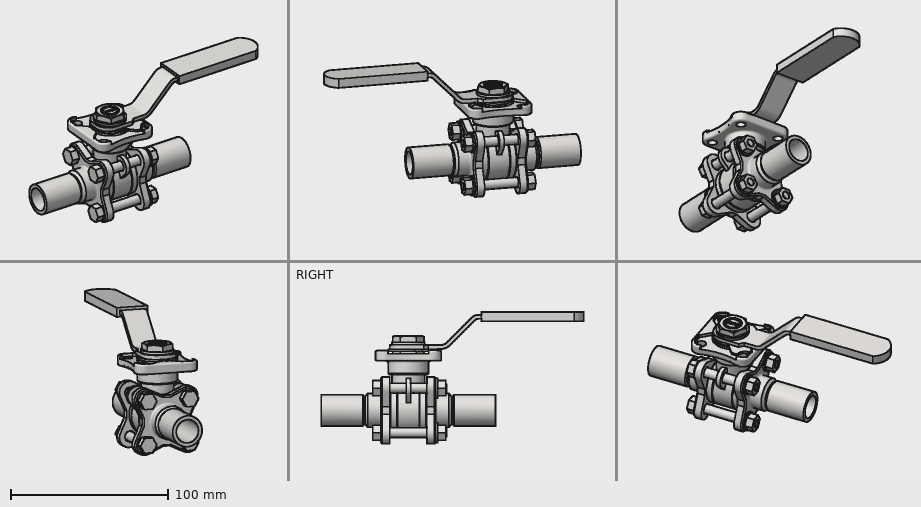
import cadquery as cq
import math


pipe_end = 55.5
pipe_radius = 20.0 / 2
bore_radius = 15.0 / 2
pipe_start = 29.1
weld_groove_radius = 17.7 / 2
weld_groove_start = 27.6
weld_groove_end = 28.3
hub_radius = 21.7 / 2
hub_end = 25.8
hub_root_fillet = 1.2
housing_radius = 30.1 / 2
housing_half_length = 6.9
groove_radius = 28.1 / 2
groove_width = 0.5
ring_end = 11.2

flange_inner = 11.7
flange_thickness = 5.9
flange_outer = flange_inner + flange_thickness
flange_chamfer = 1.0
bolt_offset = 14.2
flange_corner_radius = 6.7
flange_corner_offset = 14.7
waist_offset = 16.4
waist_half_length = 2.3

bolt_radius = 6.4 / 2
bolt_hole_radius = 7.0 / 2
bolt_head_flats = 9.7
bolt_head_height = 5.2
washer_radius = 12.7 / 2
washer_thickness = 1.2
bolt_tip_radius = 5.0 / 2
bolt_tip_length = 0.5

lug_radius = 6.4
lug_thickness = 3.0

neck_radius = 21.0 / 2
collar_radius = 26.0 / 2
neck_root_fillet = 0.7
collar_bottom = 22.8
collar_chamfer = 0.8
collar_root_fillet = 1.2
plate_bottom = 31.5
plate_floor = 36.1
plate_top = 38.1
plate_half = 21.0
plate_hole_offset = 14.9
plate_hole_radius = 6.0 / 2
plate_corner_radius = plate_half - plate_hole_offset
plate_fillet = 1.3
plate_waist = 18.9
plate_waist_end = 13.4
floor_bore_radius = 26.0 / 2
floor_bore_depth = 0.8
rim_width = 2.0
rim_end = 12.9
stop_block_inner = 12.9
stop_block_inner_half_width = 3.5

disc_bottom = 37.6
disc_radius = 26.0 / 2
tab_reach = 18.4
tab_shoulder = 8.7
tab_root_far = 13.2
tab_root_near = 4.0
scallop_radius = 5.9
nut_corners = 20.0
stem_radius = 10.0 / 2
top_washer_radius = 21.0 / 2
top_washer_top = 43.3
nut_top = 47.5
nut_chamfer_radius = 17.2 / 2
nut_chamfer_height = 0.7
countersink_radius = 11.9 / 2
stem_chamfer = 0.5
slot_width = 1.7
slot_depth = 0.7

lever_thickness = 2.7
lever_bottom = 39.0
lever_top = lever_bottom + lever_thickness
lever_rise = 19.2
lever_half_width = 8.4
lever_head_half_width = 11.0
lever_head_front = -11.9
lever_head_corner = 9.0
lever_shoulder = 9.9
lower_bend = 23.5
lower_bend_inner_radius = 6.0
upper_bend_inner_radius = 3.3
lever_end = 104.5

grip_start = 46.5
grip_end = 111.7
grip_half_width = 20.9 / 2
grip_bottom = 56.7
grip_top = 62.7
grip_nose_length = 6.2


def disc(radius, bottom, top):
    return cq.Workplane("XY").workplane(offset=bottom).circle(radius).extrude(top - bottom)


def along_y(profile, start, end):
    """Extrude a sketch drawn by profile(workplane) in X, Z from y = start to y = end."""
    return profile(cq.Workplane("XZ", origin=(0, start, 0))).extrude(start - end)


def both_ends(shape):
    return shape.union(shape.mirror("XZ"))


def housing():
    """Turned housing, hubs and pipe ends."""
    ring_start = housing_half_length + groove_width
    half = (
        cq.Workplane("XY")
        .moveTo(0, 0)
        .lineTo(housing_radius, 0)
        .lineTo(housing_radius, housing_half_length)
        .lineTo(groove_radius, housing_half_length)
        .lineTo(groove_radius, ring_start)
        .lineTo(housing_radius, ring_start)
        .lineTo(housing_radius, ring_end)
        .lineTo(groove_radius, ring_end)
        .lineTo(groove_radius, flange_outer)
        .lineTo(hub_radius + hub_root_fillet, flange_outer)
        .radiusArc((hub_radius, flange_outer + hub_root_fillet), hub_root_fillet)
        .lineTo(hub_radius, hub_end)
        .lineTo(weld_groove_radius, weld_groove_start)
        .lineTo(weld_groove_radius, weld_groove_end)
        .lineTo(pipe_radius, pipe_start)
        .lineTo(pipe_radius, pipe_end)
        .lineTo(0, pipe_end)
        .close()
        .revolve(360, (0, 0, 0), (0, 1, 0))
    )
    return both_ends(half)


def pipe_bores():
    bore = along_y(lambda plane: plane.circle(bore_radius), flange_inner, pipe_end)
    return both_ends(bore)


def flange_quarter_points():
    """Waist end, tangent point, corner middle, tangent point and waist end for the +X +Z arm."""
    dx = flange_corner_offset - waist_half_length
    dz = flange_corner_offset - waist_offset
    reach = math.hypot(dx, dz)
    angle = math.atan2(dz, dx) + math.asin(flange_corner_radius / reach) + math.pi / 2
    tangent_x = flange_corner_offset + flange_corner_radius * math.cos(angle)
    tangent_z = flange_corner_offset + flange_corner_radius * math.sin(angle)
    middle = flange_corner_offset + flange_corner_radius * math.cos(math.pi / 4)
    return [
        (waist_half_length, waist_offset),
        (tangent_x, tangent_z),
        (middle, middle),
        (tangent_z, tangent_x),
        (waist_offset, waist_half_length),
    ]


def flange_outline(plane):
    """Cross with four rounded arms, drawn clockwise from the upper waist."""
    arm = flange_quarter_points()
    path = plane.moveTo(-waist_half_length, waist_offset)
    for turn in range(4):
        points = arm
        for _ in range(turn):
            points = [(z, -x) for x, z in points]
        path = path.lineTo(*points[0]).lineTo(*points[1])
        path = path.threePointArc(points[2], points[3]).lineTo(*points[4])
    return path.close()


def flanges():
    """Both flanges, chamfered around their outer faces."""
    flange = along_y(flange_outline, flange_inner, flange_outer)
    flange = flange.faces(">Y").chamfer(flange_chamfer)
    return both_ends(flange)


def bolt_lug():
    """Ear around the +X upper bolt, with a 45 degree underside that runs into the housing."""
    diagonal = lug_radius * math.cos(math.pi / 4)
    tip = (bolt_offset + diagonal, bolt_offset - diagonal)
    foot_height = math.sqrt(housing_radius**2 - bolt_offset**2)
    foot = (bolt_offset, foot_height)

    def outline(plane):
        return (
            plane.moveTo(0, foot_height)
            .lineTo(*foot)
            .lineTo(*tip)
            .threePointArc(
                (bolt_offset + diagonal, bolt_offset + diagonal),
                (bolt_offset - diagonal, bolt_offset + diagonal),
            )
            .lineTo(0, foot_height)
            .close()
        )

    return along_y(outline, -lug_thickness / 2, lug_thickness / 2)


def bolt_lugs():
    lug = bolt_lug()
    return lug.union(lug.mirror("YZ"))


def at_bolts(profile, start, end):
    """Repeat a sketch at the four bolt axes and extrude it along Y."""
    corners = [(x, z) for x in (-bolt_offset, bolt_offset) for z in (-bolt_offset, bolt_offset)]
    return along_y(lambda plane: profile(plane.pushPoints(corners)), start, end)


def bolts():
    """Headed bolts along Y with a washer and a nut on the +Y side."""
    hex_corners = bolt_head_flats / math.cos(math.pi / 6)
    nut_start = flange_outer + washer_thickness
    nut_end = nut_start + bolt_head_height
    heads = at_bolts(lambda p: p.polygon(6, hex_corners), -flange_outer - bolt_head_height, -flange_outer)
    shanks = at_bolts(lambda p: p.circle(bolt_radius), -flange_outer, flange_outer)
    washers = at_bolts(lambda p: p.circle(washer_radius), flange_outer, nut_start)
    nuts = at_bolts(lambda p: p.polygon(6, hex_corners), nut_start, nut_end)
    tips = at_bolts(lambda p: p.circle(bolt_tip_radius), nut_end, nut_end + bolt_tip_length)
    return heads.union(shanks).union(washers).union(nuts).union(tips)


def root_fillet(radius, root_height, fillet_radius):
    """Concave ring that blends a vertical cylinder into the flat face above it."""
    return (
        cq.Workplane("XZ")
        .moveTo(0, root_height)
        .lineTo(radius + fillet_radius, root_height)
        .radiusArc((radius, root_height - fillet_radius), -fillet_radius)
        .lineTo(0, root_height - fillet_radius)
        .close()
        .revolve(360, (0, 0, 0), (0, 1, 0))
    )


def neck():
    """Neck and the chamfered collar under the mounting plate."""
    floor_bore_bottom = plate_floor - floor_bore_depth
    collar = disc(collar_radius, collar_bottom, floor_bore_bottom).faces("<Z").chamfer(collar_chamfer)
    neck_root = root_fillet(neck_radius, collar_bottom, neck_root_fillet)
    collar_root = root_fillet(collar_radius, plate_bottom, collar_root_fillet)
    return disc(neck_radius, 0, collar_bottom).union(neck_root).union(collar).union(collar_root)


def plate_recess():
    """Floor inside the rim, open to both X sides, leaving a trapezoid stop block on both Y sides."""
    height = plate_top - plate_floor
    inner_side = 2 * (plate_half - rim_width)
    inside = (
        cq.Workplane("XY")
        .workplane(offset=plate_floor)
        .rect(inner_side, inner_side)
        .extrude(height)
        .edges("|Z")
        .fillet(plate_corner_radius - rim_width)
    )
    channel = (
        cq.Workplane("XY").workplane(offset=plate_floor).rect(2 * plate_half, 2 * rim_end).extrude(height)
    )
    outer_half_width = stop_block_inner_half_width + plate_half - stop_block_inner
    stop_block = (
        cq.Workplane("XY")
        .workplane(offset=plate_floor)
        .polyline(
            [
                (-stop_block_inner_half_width, -stop_block_inner),
                (stop_block_inner_half_width, -stop_block_inner),
                (outer_half_width, -plate_half),
                (-outer_half_width, -plate_half),
            ]
        )
        .close()
        .extrude(height)
    )
    return inside.union(channel).cut(stop_block).cut(stop_block.mirror("XZ"))


def plate_outline(plane):
    """Square with rounded corners whose X sides curve inwards."""
    hole, half = plate_hole_offset, plate_half
    end_y = plate_waist_end
    end_x = hole + math.sqrt(plate_corner_radius**2 - (hole - end_y) ** 2)
    middle = hole + plate_corner_radius * math.cos(math.pi / 4)
    return (
        plane.moveTo(-hole, -half)
        .lineTo(hole, -half)
        .threePointArc((middle, -middle), (end_x, -end_y))
        .threePointArc((plate_waist, 0), (end_x, end_y))
        .threePointArc((middle, middle), (hole, half))
        .lineTo(-hole, half)
        .threePointArc((-middle, middle), (-end_x, end_y))
        .threePointArc((-plate_waist, 0), (-end_x, -end_y))
        .threePointArc((-middle, -middle), (-hole, -half))
        .close()
    )


def mounting_plate():
    """Waisted plate with a raised rim, a bored floor and a bolt hole in each corner."""
    thickness = plate_top - plate_bottom
    plate = plate_outline(cq.Workplane("XY").workplane(offset=plate_bottom)).extrude(thickness)
    plate = plate.faces("<Z or >Z").edges().fillet(plate_fillet)
    floor_bore = disc(floor_bore_radius, plate_floor - floor_bore_depth, plate_top)
    plate = plate.cut(plate_recess()).cut(floor_bore)
    holes = (
        cq.Workplane("XY")
        .workplane(offset=plate_bottom)
        .rect(2 * plate_hole_offset, 2 * plate_hole_offset, forConstruction=True)
        .vertices()
        .circle(plate_hole_radius)
        .extrude(thickness)
    )
    return plate.cut(holes)


def stop_disc():
    """Disc under the lever with a tab towards +X +Y, scalloped around the plate hole."""
    thickness = lever_bottom - disc_bottom
    tab = (
        cq.Workplane("XY")
        .workplane(offset=disc_bottom)
        .polyline(
            [
                (0, 0),
                (tab_root_far, tab_root_near),
                (tab_reach, tab_shoulder),
                (tab_reach, tab_reach),
                (tab_shoulder, tab_reach),
                (tab_root_near, tab_root_far),
            ]
        )
        .close()
        .extrude(thickness)
    )
    scallop = disc(scallop_radius, disc_bottom, lever_bottom).translate((tab_reach, tab_reach, 0))
    return disc(disc_radius, disc_bottom, lever_bottom).union(tab.cut(scallop))


def hexagon(bottom, top):
    """Hexagon around the stem with two corners on the Y axis."""
    blank = cq.Workplane("XY").workplane(offset=bottom).polygon(6, nut_corners).extrude(top - bottom)
    return blank.rotate((0, 0, 0), (0, 0, 1), 90)


def top_nut():
    """Nut above the lever: corners chamfered, hole countersunk around the stem."""
    corner_radius = nut_corners / 2
    chamfer_cone = (
        cq.Workplane("XZ")
        .polyline(
            [
                (0, top_washer_top),
                (corner_radius, top_washer_top),
                (corner_radius, nut_top - nut_chamfer_height),
                (nut_chamfer_radius, nut_top),
                (0, nut_top),
            ]
        )
        .close()
        .revolve(360, (0, 0, 0), (0, 1, 0))
    )
    countersink = (
        cq.Workplane("XZ")
        .polyline([(0, nut_top - countersink_radius), (countersink_radius, nut_top), (0, nut_top)])
        .close()
        .revolve(360, (0, 0, 0), (0, 1, 0))
    )
    return hexagon(top_washer_top, nut_top).intersect(chamfer_cone).cut(countersink)


def stem():
    """Stem through the lever with a screwdriver slot along Y in its top."""
    rod = disc(stem_radius, plate_floor, nut_top).faces(">Z").chamfer(stem_chamfer)
    slot = (
        cq.Workplane("XY")
        .workplane(offset=nut_top - slot_depth)
        .rect(slot_width, 2 * stem_radius)
        .extrude(slot_depth)
    )
    return rod.cut(slot)


def build_valve():
    """Whole valve: pipe line, bolted flanges, mounting plate, stem and the parts clamped on it."""
    valve = housing().union(flanges()).union(bolt_lugs()).cut(pipe_bores())
    valve = valve.cut(at_bolts(lambda p: p.circle(bolt_hole_radius), -flange_outer, flange_outer))
    parts = [
        bolts(),
        neck(),
        mounting_plate(),
        hexagon(plate_floor - floor_bore_depth, disc_bottom),
        stop_disc(),
        stem(),
        disc(top_washer_radius, lever_top, top_washer_top),
        top_nut(),
    ]
    for part in parts:
        valve = valve.union(part)
    return valve


def build_lever():
    """Strap with two 45 degree bends and a wide head around the stem."""
    miter = lever_thickness * math.tan(math.pi / 8) / 2
    upper_bend = lower_bend + lever_rise
    profile = [
        (lever_head_front, lever_bottom),
        (lower_bend + miter, lever_bottom),
        (upper_bend + miter, lever_bottom + lever_rise),
        (lever_end, lever_bottom + lever_rise),
        (lever_end, lever_top + lever_rise),
        (upper_bend - miter, lever_top + lever_rise),
        (lower_bend - miter, lever_top),
        (lever_head_front, lever_top),
    ]
    strap = cq.Workplane("YZ").polyline(profile).close().extrude(lever_head_half_width, both=True)
    bends = [
        (profile[1], lower_bend_inner_radius + lever_thickness),
        (profile[6], lower_bend_inner_radius),
        (profile[2], upper_bend_inner_radius),
        (profile[5], upper_bend_inner_radius + lever_thickness),
    ]
    for (y, z), radius in bends:
        strap = strap.edges(cq.selectors.NearestToPointSelector((0, y, z))).fillet(radius)

    neck_start = lever_shoulder + lever_head_half_width - lever_half_width
    outline = (
        cq.Workplane("XY")
        .workplane(offset=lever_bottom)
        .polyline(
            [
                (-lever_head_half_width, lever_head_front),
                (lever_head_half_width, lever_head_front),
                (lever_head_half_width, lever_shoulder),
                (lever_half_width, neck_start),
                (lever_half_width, lever_end),
                (-lever_half_width, lever_end),
                (-lever_half_width, neck_start),
                (-lever_head_half_width, lever_shoulder),
            ]
        )
        .close()
        .extrude(lever_rise + lever_thickness)
        .edges("|Z and <Y")
        .fillet(lever_head_corner)
    )
    return strap.intersect(outline).cut(disc(stem_radius, lever_bottom, lever_top))


def build_grip(lever):
    """Block with a rounded nose and a pocket that the lever fills."""
    nose_start = grip_end - grip_nose_length
    block = (
        cq.Workplane("XY")
        .workplane(offset=grip_bottom)
        .moveTo(-grip_half_width, grip_start)
        .lineTo(grip_half_width, grip_start)
        .lineTo(grip_half_width, nose_start)
        .threePointArc((0, grip_end), (-grip_half_width, nose_start))
        .close()
        .extrude(grip_top - grip_bottom)
    )
    return block.cut(lever)


valve = build_valve()
lever = build_lever()
grip = build_grip(lever)

result = cq.Compound.makeCompound([valve.val(), lever.val(), grip.val()])